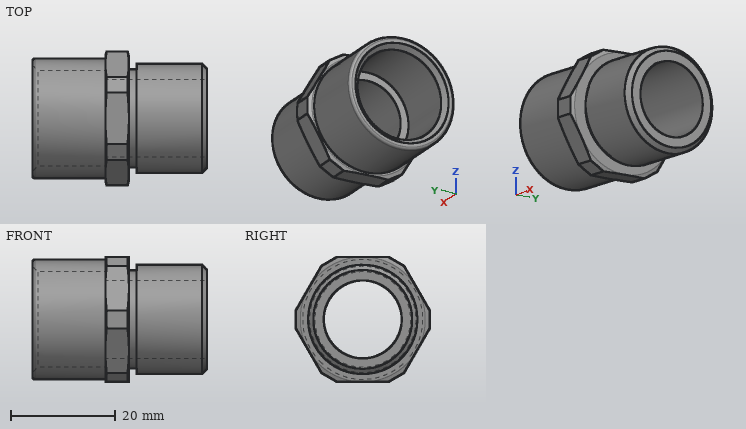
import cadquery as cq
import math

total_length = 33.5

sleeve_diameter = 23.0
sleeve_length = 14.0
sleeve_edge_radius = 0.55

hex_across_flats = 24.0
hex_across_trimmed_corners = 25.7
hex_thickness = 4.5
hex_bevel_angle = 15.0

neck_diameter = 18.85
neck_length = 1.5

spigot_diameter = 20.97
spigot_chamfer = 1.0

socket_diameter = 18.32
socket_depth = sleeve_length
socket_chamfer = 1.05
through_diameter = 14.9

hex_start = sleeve_length
neck_start = hex_start + hex_thickness
spigot_start = neck_start + neck_length
spigot_length = total_length - spigot_start


def hex_corner_diameter(across_flats):
    """Distance between opposite corners of a regular hexagon."""
    return across_flats / math.cos(math.radians(30))


def cylinder(start, length, diameter):
    """Cylinder on the X axis."""
    return cq.Workplane("YZ", origin=(start, 0, 0)).circle(diameter / 2).extrude(length)


def revolve_about_x(profile_points):
    """Solid of revolution about the X axis from a closed (x, radius) profile."""
    return cq.Workplane("XY").polyline(profile_points).close().revolve(360, (0, 0, 0), (1, 0, 0))


def hex_prism(across_flats):
    """Hexagonal prism at the collar position with two corners in the XY plane."""
    hexagon = cq.Workplane("YZ", origin=(hex_start, 0, 0)).polygon(6, hex_corner_diameter(across_flats))
    return hexagon.extrude(hex_thickness)


def bevel_envelope():
    """Disc whose conical sides bevel the collar corners at both ends."""
    face_radius = hex_across_flats / 2
    corner_radius = hex_corner_diameter(hex_across_flats) / 2
    bevel_depth = (corner_radius - face_radius) * math.tan(math.radians(hex_bevel_angle))
    return revolve_about_x([
        (hex_start, 0),
        (hex_start, face_radius),
        (hex_start + bevel_depth, corner_radius),
        (neck_start - bevel_depth, corner_radius),
        (neck_start, face_radius),
        (neck_start, 0),
    ])


def hex_collar():
    """Hexagon with its corners trimmed by a second hexagon turned 30 degrees, then bevelled."""
    corner_trim = hex_prism(hex_across_trimmed_corners).rotate((0, 0, 0), (1, 0, 0), 30)
    return hex_prism(hex_across_flats).intersect(corner_trim).intersect(bevel_envelope())


def socket():
    """Bore into the sleeve end, with a 45 degree chamfer at its mouth."""
    bore_radius = socket_diameter / 2
    return revolve_about_x([
        (0, 0),
        (0, bore_radius + socket_chamfer),
        (socket_chamfer, bore_radius),
        (socket_depth, bore_radius),
        (socket_depth, 0),
    ])


sleeve = cylinder(0, sleeve_length, sleeve_diameter).faces("<X").edges().fillet(sleeve_edge_radius)
neck = cylinder(neck_start, neck_length, neck_diameter)
spigot = cylinder(spigot_start, spigot_length, spigot_diameter).faces(">X").edges().chamfer(spigot_chamfer)
body = sleeve.union(hex_collar()).union(neck).union(spigot)

through_hole = cylinder(0, total_length, through_diameter)
result = body.cut(socket()).cut(through_hole)